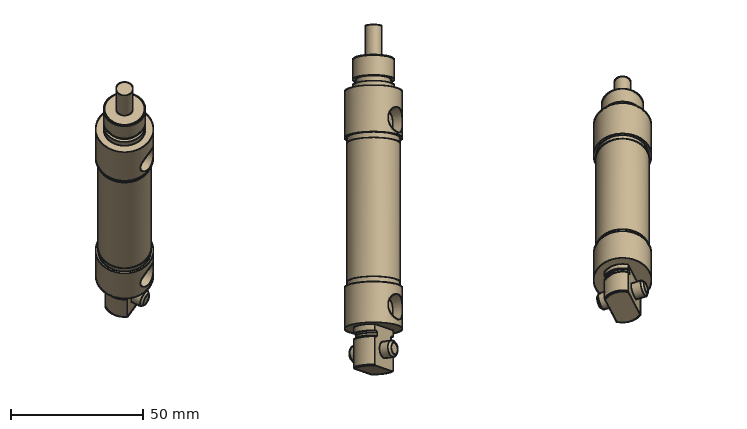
import cadquery as cq

total_length = 133.3
rear_cap_bottom = 16.0
rear_cap_top = 31.9
front_cap_bottom = 90.0
front_cap_top = 108.0
nose_top = 120.7
collar_height = 2.1

cap_diameter = 21.9
tube_diameter = 20.4
collar_diameter = 20.1
nose_diameter = 15.9
groove_diameter = 13.3
rear_groove_diameter = 13.6
rod_diameter = 6.4
pin_diameter = 6.4

groove_land = 2.4
groove_width = 2.3
slope_height = 0.7
slope_depth = 0.4
end_chamfer = 0.4

tongue_thickness = 9.6
pin_length = 19.1
pin_height = 7.2
pin_chamfer = 1.0

port_diameter = 9.7
port_depth = 5.3
front_port_height = 95.7
rear_port_height = 23.2

tube_bottom = rear_cap_top + collar_height
tube_top = front_cap_bottom - collar_height


def disc(diameter, bottom, top):
    """Cylinder on the Z axis between two heights."""
    return cq.Workplane("XY").workplane(offset=bottom).circle(diameter / 2).extrude(top - bottom)


def cross_cylinder(diameter, start_x, length, height):
    """Cylinder along +X, starting at start_x, at the given height."""
    return cq.Workplane("YZ", origin=(start_x, 0, height)).circle(diameter / 2).extrude(length)


def port(height):
    """Blind round port drilled inward from the +X side."""
    floor_x = cap_diameter / 2 - port_depth
    return cross_cylinder(port_diameter, floor_x, port_depth, height)


def make_front_cap():
    """Front cap with a tube collar, a side port and a grooved nose."""
    groove_bottom = front_cap_top + groove_land
    groove_top = groove_bottom + groove_width
    collar = disc(collar_diameter, tube_top, front_cap_bottom)
    head = disc(cap_diameter, front_cap_bottom, front_cap_top)
    nose = disc(nose_diameter, front_cap_top, nose_top).faces(">Z").chamfer(end_chamfer)
    groove = disc(nose_diameter, groove_bottom, groove_top).cut(
        disc(groove_diameter, groove_bottom, groove_top)
    )
    return collar.union(head).union(nose).cut(groove).cut(port(front_port_height))


def make_rear_groove():
    """Ring to remove around the tongue, with sloped corners at its floor."""
    top = rear_cap_bottom - groove_land
    bottom = top - groove_width
    floor_radius = rear_groove_diameter / 2
    slope_radius = floor_radius + slope_depth
    profile = [
        (nose_diameter / 2, bottom),
        (slope_radius, bottom),
        (floor_radius, bottom + slope_height),
        (floor_radius, top - slope_height),
        (slope_radius, top),
        (nose_diameter / 2, top),
    ]
    return cq.Workplane("XZ").polyline(profile).close().revolve(360, (0, 0), (0, 1))


def make_rear_cap():
    """Rear cap with a tube collar, a side port and a flat-sided mounting tongue."""
    collar = disc(collar_diameter, rear_cap_top, tube_bottom)
    head = disc(cap_diameter, rear_cap_bottom, rear_cap_top)
    flats = cq.Workplane("XY").box(
        tongue_thickness, nose_diameter, rear_cap_bottom, centered=(True, True, False)
    )
    tongue = (
        disc(nose_diameter, 0, rear_cap_bottom)
        .faces("<Z").chamfer(end_chamfer)
        .cut(make_rear_groove())
        .intersect(flats)
    )
    pin_hole = cross_cylinder(pin_diameter, -pin_length / 2, pin_length, pin_height)
    return collar.union(head).union(tongue).cut(pin_hole).cut(port(rear_port_height))


def make_tube():
    """Cylinder barrel between the two cap collars."""
    return disc(tube_diameter, tube_bottom, tube_top)


def make_rod():
    """Piston rod standing out of the front nose."""
    return disc(rod_diameter, nose_top, total_length)


def make_pivot_pin():
    """Pivot pin through the tongue, chamfered at both ends."""
    pin = cross_cylinder(pin_diameter, -pin_length / 2, pin_length, pin_height)
    return pin.faces("<X or >X").chamfer(pin_chamfer)


front_cap = make_front_cap()
rear_cap = make_rear_cap()
tube = make_tube()
rod = make_rod()
pivot_pin = make_pivot_pin()

result = cq.Compound.makeCompound(
    [front_cap.val(), rear_cap.val(), tube.val(), rod.val(), pivot_pin.val()]
)